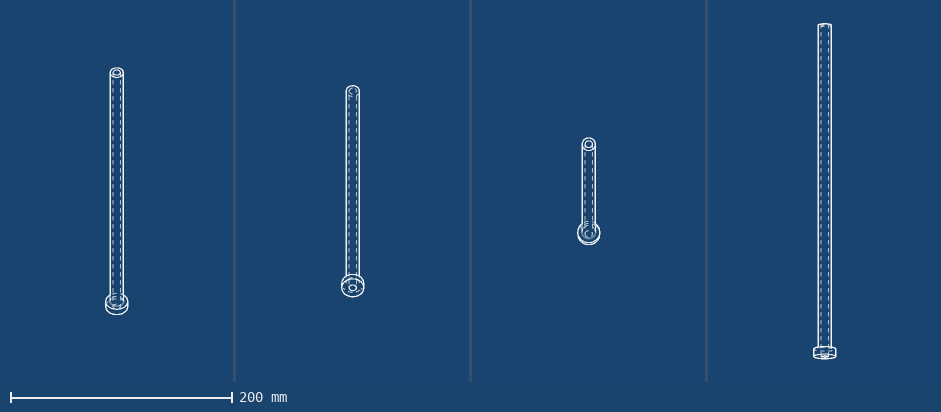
import cadquery as cq

total_length = 307.0
head_diameter = 20.0
head_height = 7.0
shaft_diameter = 12.0
bore_diameter = 6.5
root_fillet_radius = 0.5

shaft_radius = shaft_diameter / 2
fillet_start_radius = shaft_radius + root_fillet_radius


def sleeve_body():
    """Headed shaft on Z, revolved from a half section with a concave fillet at the shaft root."""
    half_section = (
        cq.Workplane("XZ")
        .lineTo(head_diameter / 2, 0)
        .lineTo(head_diameter / 2, head_height)
        .lineTo(fillet_start_radius, head_height)
        .radiusArc((shaft_radius, head_height + root_fillet_radius), root_fillet_radius)
        .lineTo(shaft_radius, total_length)
        .lineTo(0, total_length)
        .close()
    )
    return half_section.revolve(360, (0, 0, 0), (0, 1, 0))


def through_bore():
    return cq.Workplane("XY").circle(bore_diameter / 2).extrude(total_length)


result = sleeve_body().cut(through_bore()).translate((0, 0, -total_length / 2))